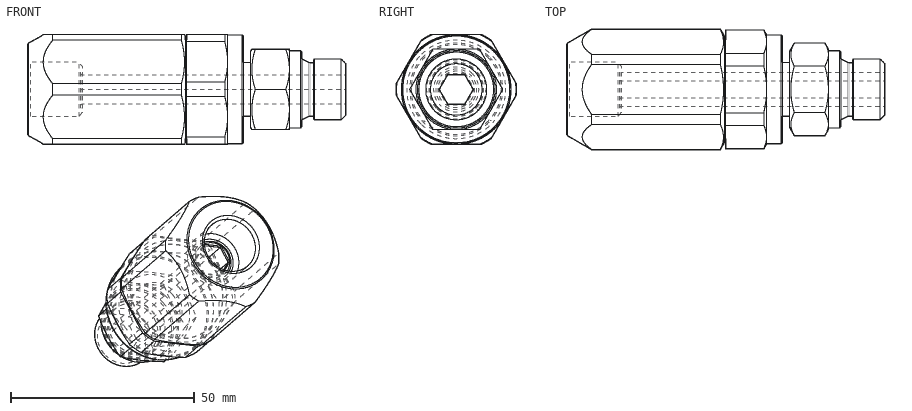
import cadquery as cq
import math

sleeve_end = 43.1
collar_nut_start = 43.4
collar_nut_end = 54.6
flange_end = 58.9
hex_nut_start = 60.8
hex_nut_end = 71.5
shoulder_end = 74.9
relief_start = 76.85
thread_start = 78.1
total_length = 86.9

sleeve_flats = 30.0
sleeve_corner_diameter = 33.0
collar_nut_corner_diameter = 32.6
hex_nut_flats = 22.0
hex_nut_bevel_extra = 0.4

sleeve_face_radius = 12.55
sleeve_face_edge = 0.25
sleeve_rear_bevel_extra = 0.25
gap_radius = 13.5
flange_radius = 14.9
flange_chamfer = 0.3
neck_radius = 7.4
shoulder_radius = 10.6
shoulder_chamfer = 0.4
relief_radius = 7.35
relief_blend_radius = 1.0
relief_search = 0.1
thread_radius = 8.33
thread_start_chamfer = 0.25
thread_end_chamfer = 1.3
bevel_angle = 30.0

bore_entry_radius = 8.3
bore_radius = 7.45
bore_depth = 14.0
bore_floor_radius = 6.16
bore_floor_depth = 15.0
spigot_base_radius = 5.55
spigot_tip_radius = 5.0
spigot_height = 0.5
key_flats = 8.0
key_chamfer = 0.3

bevel_slope = math.tan(math.radians(bevel_angle))
hex_corner_factor = 1 / math.cos(math.pi / 6)


def hex_prism(flats, start, end):
    """Hexagonal bar along X with two flats facing +Z and -Z."""
    corner_diameter = flats * hex_corner_factor
    return cq.Workplane("YZ", origin=(start, 0, 0)).polygon(6, corner_diameter).extrude(end - start)


def turned(profile):
    """Solid of revolution about X from (x, radius) points, closed along the axis."""
    points = [(profile[0][0], 0)] + profile + [(profile[-1][0], 0)]
    return cq.Workplane("XY").polyline(points).close().revolve(360, (0, 0, 0), (1, 0, 0))


def make_sleeve():
    """Large hexagon with rounded corners, a long front cone and a short rear bevel."""
    flat_radius = sleeve_flats / 2
    corner_radius = sleeve_corner_diameter / 2
    front_bevel_end = (corner_radius - sleeve_face_radius) / bevel_slope
    rear_bevel = (corner_radius - flat_radius) * bevel_slope + sleeve_rear_bevel_extra
    envelope = turned([
        (0, sleeve_face_radius - sleeve_face_edge),
        (sleeve_face_edge, sleeve_face_radius + sleeve_face_edge * bevel_slope),
        (front_bevel_end, corner_radius),
        (sleeve_end - rear_bevel, corner_radius),
        (sleeve_end, corner_radius - rear_bevel / bevel_slope),
    ])
    return hex_prism(sleeve_flats, 0, sleeve_end).intersect(envelope)


def make_collar_nut():
    """Short rounded hexagon, bevelled down to its flats next to the flange."""
    corner_radius = collar_nut_corner_diameter / 2
    flat_radius = sleeve_flats / 2
    bevel = (corner_radius - flat_radius) * bevel_slope
    envelope = turned([
        (collar_nut_start, corner_radius),
        (collar_nut_end - bevel, corner_radius),
        (collar_nut_end, flat_radius),
    ])
    return hex_prism(sleeve_flats, collar_nut_start, collar_nut_end).intersect(envelope)


def make_hex_nut():
    """Sharp-cornered hexagon bevelled at both ends, deeper on the side facing the sleeve."""
    flat_radius = hex_nut_flats / 2
    corner_radius = flat_radius * hex_corner_factor
    bevel = (corner_radius - flat_radius) * bevel_slope
    rear_bevel = bevel + hex_nut_bevel_extra
    envelope = turned([
        (hex_nut_start, corner_radius - rear_bevel / bevel_slope),
        (hex_nut_start + rear_bevel, corner_radius),
        (hex_nut_end - bevel, corner_radius),
        (hex_nut_end, flat_radius),
    ])
    return hex_prism(hex_nut_flats, hex_nut_start, hex_nut_end).intersect(envelope)


def make_turned_core():
    """Gap ring, flange, neck, shoulder, relief groove and thread body as one turned piece."""
    core = turned([
        (sleeve_end, gap_radius),
        (collar_nut_end, gap_radius),
        (collar_nut_end, flange_radius),
        (flange_end - flange_chamfer, flange_radius),
        (flange_end, flange_radius - flange_chamfer),
        (flange_end, neck_radius),
        (hex_nut_end, neck_radius),
        (hex_nut_end, shoulder_radius),
        (shoulder_end - shoulder_chamfer, shoulder_radius),
        (shoulder_end, shoulder_radius - shoulder_chamfer),
        (shoulder_end, thread_radius),
        (relief_start, relief_radius),
        (thread_start, relief_radius),
        (thread_start, thread_radius - thread_start_chamfer),
        (thread_start + thread_start_chamfer, thread_radius),
        (total_length - thread_end_chamfer, thread_radius),
        (total_length, thread_radius - thread_end_chamfer),
    ])
    blend_zone = cq.selectors.BoxSelector(
        (relief_start - relief_search, -shoulder_radius, -shoulder_radius),
        (relief_start + relief_search, shoulder_radius, shoulder_radius),
        boundingbox=True,
    )
    return core.edges(blend_zone).fillet(relief_blend_radius)


def make_bore():
    """Countersunk blind bore with a coned floor edge, less the spigot on its floor."""
    entry_depth = bore_entry_radius - bore_radius
    hole = turned([
        (0, bore_entry_radius),
        (entry_depth, bore_radius),
        (bore_depth, bore_radius),
        (bore_floor_depth, bore_floor_radius),
    ])
    spigot = turned([
        (bore_floor_depth - spigot_height, spigot_tip_radius),
        (bore_floor_depth, spigot_base_radius),
    ])
    return hole.cut(spigot)


def make_key_passage():
    """Hexagonal through passage, flared where it opens at the spigot tip."""
    start = bore_floor_depth - spigot_height
    flare = (
        cq.Workplane("YZ", origin=(start, 0, 0))
        .polygon(6, (key_flats + 2 * key_chamfer) * hex_corner_factor)
        .workplane(offset=key_chamfer)
        .polygon(6, key_flats * hex_corner_factor)
        .loft(ruled=True)
    )
    return hex_prism(key_flats, start, total_length).union(flare)


result = (
    make_sleeve()
    .union(make_turned_core())
    .union(make_collar_nut())
    .union(make_hex_nut())
    .cut(make_bore())
    .cut(make_key_passage())
)